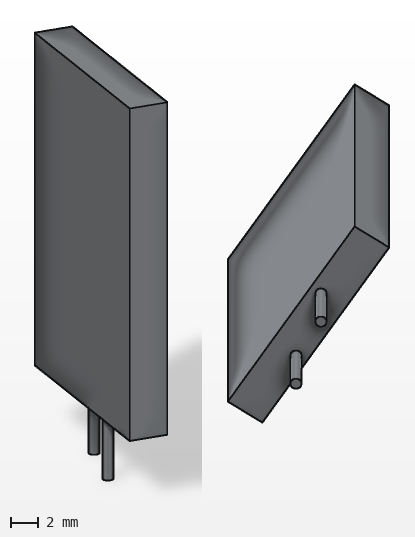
import cadquery as cq

housing_width = 16.5
housing_depth = 3.0
total_height = 30.8

pin_diameter = 0.8
pin_length = 5.08
pin_pitch_x = 5.05
pin_stagger_y = 1.2

housing_height = total_height - pin_length


def make_housing():
    """Slab centred on X and Y, with its underside at Z = 0."""
    return cq.Workplane("XY").box(
        housing_width, housing_depth, housing_height, centered=(True, True, False)
    )


def make_pin(x, y):
    """Straight pin hanging from the underside of the housing."""
    return cq.Workplane("XY").center(x, y).circle(pin_diameter / 2).extrude(-pin_length)


housing = make_housing()

pins = []
for side in (-1, 1):
    pin = make_pin(side * pin_pitch_x / 2, -side * pin_stagger_y / 2)
    pins.append(pin.val())

result = cq.Compound.makeCompound([housing.val(), *pins])